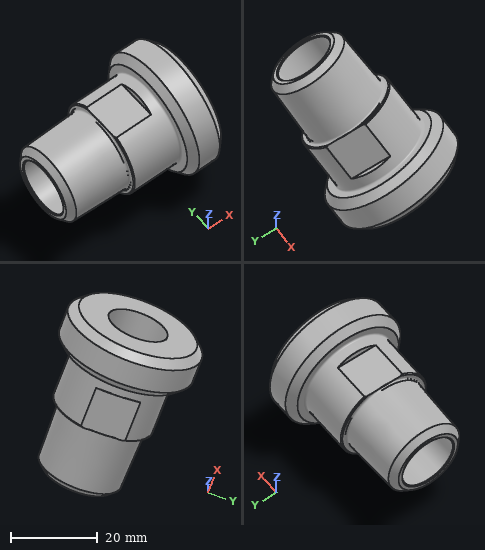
import cadquery as cq
import math

length = 41.0
bore_radius = 14.5 / 2
bore_chamfer = 0.25

nose_chamfer = 1.7
taper_start_radius = 10.2
taper_end_x = 16.55
taper_ratio = 1 / 16
taper_end_radius = taper_start_radius + (taper_end_x - nose_chamfer) * taper_ratio / 2

root_radius = 0.5
body_start_x = taper_end_x + root_radius
body_radius = 24.5 / 2
body_chamfer = 0.3

flange_start_x = 30.95
flange_radius = 33.1 / 2
flange_chamfer = 2.0

flat_height = 11.0
flat_end_x = 27.6
flat_wall_angle = 15.0


def arc_middle(corner_x, corner_radius, size):
    """Midpoint of a concave quarter arc whose tangents meet at the corner."""
    inset = size * (1 - math.sqrt(0.5))
    return corner_x - inset, corner_radius + inset


def make_turned_body():
    nose_radius = taper_start_radius - nose_chamfer
    rim_radius = flange_radius - flange_chamfer
    return (
        cq.Workplane("XY")
        .moveTo(0, bore_radius + bore_chamfer)
        .lineTo(0, nose_radius)
        .lineTo(nose_chamfer, taper_start_radius)
        .lineTo(taper_end_x, taper_end_radius)
        .threePointArc(
            arc_middle(body_start_x, taper_end_radius, root_radius),
            (body_start_x, taper_end_radius + root_radius),
        )
        .lineTo(body_start_x, body_radius - body_chamfer)
        .lineTo(body_start_x + body_chamfer, body_radius)
        .lineTo(flange_start_x - root_radius, body_radius)
        .threePointArc(
            arc_middle(flange_start_x, body_radius, root_radius),
            (flange_start_x, body_radius + root_radius),
        )
        .lineTo(flange_start_x, rim_radius)
        .lineTo(flange_start_x + flange_chamfer, flange_radius)
        .lineTo(length - flange_chamfer, flange_radius)
        .lineTo(length, rim_radius)
        .lineTo(length, bore_radius)
        .lineTo(bore_chamfer, bore_radius)
        .close()
        .revolve(360, (0, 0, 0), (1, 0, 0))
    )


def make_flat_cutter(side):
    """Prism removing material beyond one flat; side is +1 (top) or -1 (bottom)."""
    top = flange_radius
    wall_run = (top - flat_height) * math.tan(math.radians(flat_wall_angle))
    return (
        cq.Workplane("XZ")
        .polyline([
            (body_start_x, side * flat_height),
            (flat_end_x, side * flat_height),
            (flat_end_x + wall_run, side * top),
            (body_start_x, side * top),
        ])
        .close()
        .extrude(body_radius, both=True)
    )


result = make_turned_body()
for side in (1, -1):
    result = result.cut(make_flat_cutter(side))